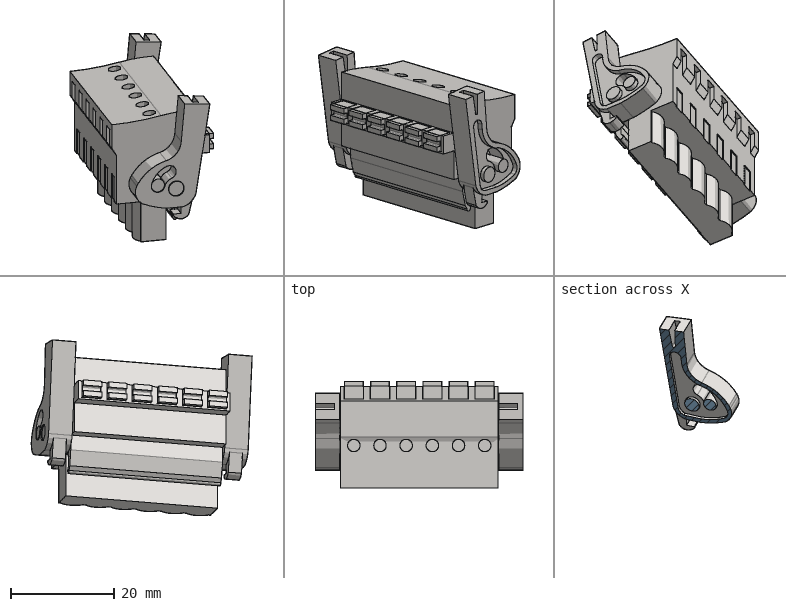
import cadquery as cq
import math


OVERLAP = 0.4

POLES = 6
PITCH = 5.05
TOTAL_WIDTH = 40.2
HOUSING_WIDTH = 30.55
LEVER_WIDTH = 4.75

LIP_DEPTH = 0.92
LIP_FACE_BOTTOM = 11.6
LIP_ROOT = 10.1
FRONT_TOP = 16.47
SEAM_Y = 8.95
SEAM_TOP = 17.4
REAR_TOP = 17.95
REAR_WALL = 15.87
SHELF_REAR = 18.72
SHELF_TOP = 12.45
SHELF_BOTTOM = 8.8
STEP_Z = 2.97
STEP_WALL = 13.42

ROOF_FRONT_MIDDLE = (4.0, 16.7)
ROOF_REAR_MIDDLE = (12.4, 17.85)

RECESS_WIDTH = 2.1
UPPER_RECESS_TOP = 14.95
LOWER_RECESS_TOP = 5.02
LOWER_RECESS_DEPTH = 0.2

HOLE_DIAMETER = 2.4
HOLE_Y = 7.3
HOLE_FLOOR = 15.65

PLUG_BOTTOM = -8.3
PLUG_REAR = 10.0
PLUG_FRONT = 4.95
BULGE_WIDTH = 4.4
BULGE_DEPTH = 0.92

RAIL_ROOT_FRONT = 11.35
RAIL_FRONT = 11.7

BUTTON_WIDTH = 3.65
BUTTON_GAP = 0.1
BUTTON_FRONT = 16.3
BUTTON_SHOULDER = 18.85
BUTTON_REAR = SHELF_REAR + 1.0
BUTTON_BOTTOM = 9.15
BUTTON_TOP = 12.4
PRONG_INSET = 0.05
PRONG_THICKNESS = 1.05
PRONG_ROOT_RADIUS = 0.2

LEVER_TOP = 21.2
POCKET_DEPTH = 1.13
GRIP_SLOT_DEPTH = 3.7
CAM_HEEL = 11.97
CAM_TOE = 8.88
CAM_SEAM = (8.68, 9.85)
POCKET_BOTTOM = 1.0
TAIL_WIDTH = 2.65
TAIL_BOTTOM = -2.9
HOOK_TIP = 10.4
HOOK_TOP = -1.73

PIVOT = (10.73, 3.85)
PIVOT_RADIUS = 1.53
PIVOT_SINK = 0.25
GUIDE_RADIUS = 1.33
GUIDE_SINK = 0.12
GUIDE_ORBIT = 3.8
GUIDE_ANGLE = 165.0
SLOT_END_ANGLE = 112.0
SLOT_HALF_WIDTH = 1.35

pole_positions = [(i - (POLES - 1) / 2) * PITCH for i in range(POLES)]


def box(x_center, width, y_range, z_range):
    """Axis-aligned block centred at x_center."""
    y_low, y_high = y_range
    z_low, z_high = z_range
    block = cq.Workplane("XY").box(width, y_high - y_low, z_high - z_low, centered=(True, False, False))
    return block.translate((x_center, y_low, z_low))


def side_sketch(x):
    """Sketch plane at X = x whose local axes are Y and Z."""
    return cq.Workplane("YZ", origin=(x, 0, 0))


def around_pivot(radius, angle):
    """Point in Y and Z at a distance and angle (degrees) from the pivot."""
    turn = math.radians(angle)
    return (PIVOT[0] + radius * math.cos(turn), PIVOT[1] + radius * math.sin(turn))


def housing_body():
    """Extruded side profile with an S-shaped roof, a rear shelf and a stepped rear foot."""
    return (
        side_sketch(-HOUSING_WIDTH / 2)
        .moveTo(0, 0)
        .lineTo(0, LIP_ROOT)
        .lineTo(-LIP_DEPTH, LIP_FACE_BOTTOM)
        .lineTo(-LIP_DEPTH, FRONT_TOP)
        .threePointArc(ROOF_FRONT_MIDDLE, (SEAM_Y, SEAM_TOP))
        .threePointArc(ROOF_REAR_MIDDLE, (REAR_WALL, REAR_TOP))
        .lineTo(REAR_WALL, SHELF_TOP)
        .lineTo(SHELF_REAR, SHELF_TOP)
        .lineTo(SHELF_REAR, SHELF_BOTTOM)
        .lineTo(REAR_WALL, SHELF_BOTTOM)
        .lineTo(REAR_WALL, STEP_Z)
        .lineTo(STEP_WALL, STEP_Z)
        .lineTo(STEP_WALL, 0)
        .close()
        .extrude(HOUSING_WIDTH)
    )


def plug_block():
    """Block under the housing, its front face rounded out at every pole."""
    block = box(0, HOUSING_WIDTH, (PLUG_FRONT, PLUG_REAR), (PLUG_BOTTOM, OVERLAP))
    for x in pole_positions:
        bulge = (
            cq.Workplane("XY", origin=(x, PLUG_FRONT, PLUG_BOTTOM))
            .moveTo(-BULGE_WIDTH / 2, 0)
            .threePointArc((0, -BULGE_DEPTH), (BULGE_WIDTH / 2, 0))
            .lineTo(BULGE_WIDTH / 2, OVERLAP)
            .lineTo(-BULGE_WIDTH / 2, OVERLAP)
            .close()
            .extrude(OVERLAP - PLUG_BOTTOM)
        )
        block = block.union(bulge)
    return block


def latch_rail():
    """Hooked rail hanging from the rear edge of the underside."""
    return (
        side_sketch(-HOUSING_WIDTH / 2)
        .moveTo(STEP_WALL, OVERLAP)
        .lineTo(STEP_WALL, 0)
        .lineTo(12.75, -3.0)
        .lineTo(12.2, -3.8)
        .threePointArc((11.65, -4.3), (11.35, -4.0))
        .lineTo(11.2, -3.55)
        .lineTo(RAIL_FRONT, -2.95)
        .lineTo(RAIL_FRONT, -0.9)
        .lineTo(RAIL_ROOT_FRONT, 0)
        .lineTo(RAIL_ROOT_FRONT, OVERLAP)
        .close()
        .extrude(HOUSING_WIDTH)
    )


def front_recesses(x):
    """Upper recess through the front lip and shallow lower recess of one pole."""
    upper = box(x, RECESS_WIDTH, (-LIP_DEPTH - OVERLAP, 0), (LIP_ROOT - OVERLAP, UPPER_RECESS_TOP))
    lower = box(x, RECESS_WIDTH, (-OVERLAP, LOWER_RECESS_DEPTH), (-OVERLAP, LOWER_RECESS_TOP))
    return upper.union(lower)


def test_hole(x):
    """Blind vertical hole in the roof of one pole."""
    return (
        cq.Workplane("XY", origin=(x, HOLE_Y, HOLE_FLOOR))
        .circle(HOLE_DIAMETER / 2)
        .extrude(REAR_TOP - HOLE_FLOOR)
    )


def button_notch(x):
    """Notch in the shelf, open above and behind, that holds one push button."""
    width = BUTTON_WIDTH + 2 * BUTTON_GAP
    return box(x, width, (BUTTON_FRONT, SHELF_REAR + OVERLAP), (BUTTON_BOTTOM, SHELF_TOP + OVERLAP))


def side_pins(center, radius, sink):
    """Pin on each end of the housing, ending below the outer lever faces."""
    length = TOTAL_WIDTH - 2 * sink
    return side_sketch(-length / 2).center(*center).circle(radius).extrude(length)


def make_housing():
    housing = housing_body().union(plug_block()).union(latch_rail())
    housing = housing.union(side_pins(PIVOT, PIVOT_RADIUS, PIVOT_SINK))
    housing = housing.union(side_pins(around_pivot(GUIDE_ORBIT, GUIDE_ANGLE), GUIDE_RADIUS, GUIDE_SINK))
    for x in pole_positions:
        housing = housing.cut(front_recesses(x)).cut(test_hole(x)).cut(button_notch(x))
    return housing


def make_button(x):
    """Block with two rear prongs separated by a slot with rounded inner corners."""
    button = box(x, BUTTON_WIDTH, (BUTTON_FRONT, BUTTON_SHOULDER), (BUTTON_BOTTOM, BUTTON_TOP))
    prong_bottom = BUTTON_BOTTOM + PRONG_INSET
    prong_top = BUTTON_TOP - PRONG_INSET
    prongs = box(x, BUTTON_WIDTH, (BUTTON_SHOULDER, BUTTON_REAR), (prong_bottom, prong_top))
    slot = box(
        x,
        BUTTON_WIDTH + OVERLAP,
        (BUTTON_SHOULDER, BUTTON_REAR + OVERLAP),
        (prong_bottom + PRONG_THICKNESS, prong_top - PRONG_THICKNESS),
    )
    slot = slot.edges("|X and <Y").fillet(PRONG_ROOT_RADIUS)
    return button.union(prongs.cut(slot))


def lever_plate():
    """Leaning handle that widens into a rounded cam around the pivot."""
    return (
        side_sketch(0)
        .moveTo(14.65, 2.55)
        .threePointArc((13.7, 0.92), (CAM_HEEL, 0))
        .lineTo(CAM_TOE, 0)
        .threePointArc((6.25, 0.55), (3.85, 1.45))
        .threePointArc((2.57, 3.3), (2.77, 5.2))
        .lineTo(3.05, 5.7)
        .threePointArc((5.25, 8.15), CAM_SEAM)
        .tangentArcPoint((11.7, 13.5), relative=False)
        .lineTo(12.38, LEVER_TOP)
        .lineTo(17.45, 20.65)
        .close()
        .extrude(LEVER_WIDTH)
    )


def lever_pocket():
    """Recess in the -X face that leaves a rim along the lever outline."""
    return (
        side_sketch(-OVERLAP)
        .moveTo(15.25, 14.4)
        .threePointArc((14.3, 15.7), (13.0, 14.63))
        .lineTo(12.9, 13.45)
        .threePointArc((11.77, 10.73), (9.45, 9.05))
        .threePointArc((5.7, 7.35), (3.55, 4.38))
        .threePointArc((3.4, 3.35), (4.0, 2.45))
        .threePointArc((6.35, 1.5), (CAM_TOE, POCKET_BOTTOM))
        .lineTo(12.3, POCKET_BOTTOM)
        .threePointArc((13.05, 1.53), (13.5, 2.4))
        .close()
        .extrude(POCKET_DEPTH + OVERLAP)
    )


def grip_slot():
    """Tapered slot in the handle tip, open at the top and toward -X."""
    return (
        side_sketch(-OVERLAP)
        .moveTo(15.55, LEVER_TOP + OVERLAP)
        .lineTo(14.7, 17.15)
        .threePointArc((14.42, 16.9), (14.2, 17.15))
        .lineTo(14.3, LEVER_TOP + OVERLAP)
        .close()
        .extrude(GRIP_SLOT_DEPTH + OVERLAP)
    )


def guide_slot():
    """Curved slot around the pivot for the travel of the guide pin."""
    inner = GUIDE_ORBIT - SLOT_HALF_WIDTH
    outer = GUIDE_ORBIT + SLOT_HALF_WIDTH
    middle_angle = (GUIDE_ANGLE + SLOT_END_ANGLE) / 2
    track = (
        side_sketch(0)
        .moveTo(*around_pivot(inner, GUIDE_ANGLE))
        .threePointArc(around_pivot(inner, middle_angle), around_pivot(inner, SLOT_END_ANGLE))
        .lineTo(*around_pivot(outer, SLOT_END_ANGLE))
        .threePointArc(around_pivot(outer, middle_angle), around_pivot(outer, GUIDE_ANGLE))
        .close()
        .extrude(LEVER_WIDTH)
    )
    for angle in (GUIDE_ANGLE, SLOT_END_ANGLE):
        end = side_sketch(0).center(*around_pivot(GUIDE_ORBIT, angle)).circle(SLOT_HALF_WIDTH)
        track = track.union(end.extrude(LEVER_WIDTH))
    return track.translate((POCKET_DEPTH, 0, 0))


def lever_tail():
    """Narrow hook below the lever, centred in its width."""
    return (
        side_sketch((LEVER_WIDTH - TAIL_WIDTH) / 2)
        .moveTo(14.42, 2.0)
        .lineTo(13.55, -1.95)
        .threePointArc((12.98, -2.57), (CAM_HEEL, TAIL_BOTTOM))
        .threePointArc((11.05, -2.6), (HOOK_TIP, -2.05))
        .lineTo(HOOK_TIP, HOOK_TOP)
        .lineTo(CAM_HEEL, HOOK_TOP)
        .lineTo(CAM_HEEL, OVERLAP)
        .close()
        .extrude(TAIL_WIDTH)
    )


def make_lever(x):
    """Lever whose -X face lies at x."""
    pivot_hole = side_sketch(0).center(*PIVOT).circle(PIVOT_RADIUS).extrude(LEVER_WIDTH)
    lever = lever_plate().union(lever_tail())
    lever = lever.cut(lever_pocket()).cut(grip_slot()).cut(guide_slot()).cut(pivot_hole)
    return lever.translate((x, 0, 0))


housing = make_housing()
buttons = [make_button(x) for x in pole_positions]
levers = [make_lever(x) for x in (-TOTAL_WIDTH / 2, TOTAL_WIDTH / 2 - LEVER_WIDTH)]

result = cq.Compound.makeCompound(
    [housing.val(), *[button.val() for button in buttons], *[lever.val() for lever in levers]]
)